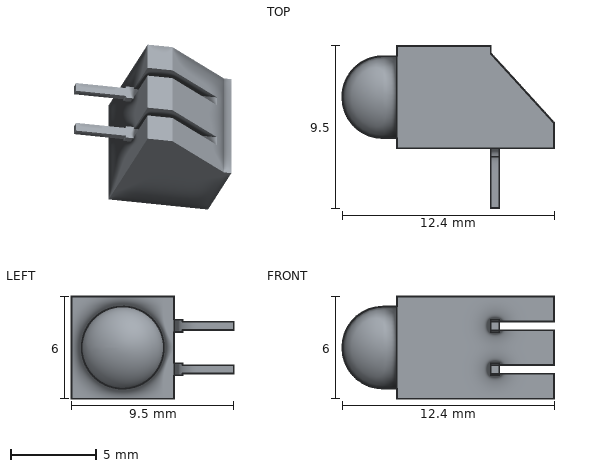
import cadquery as cq
import math


block_side = 6.0
overall_length = 12.4
lens_length = 3.2
block_length = overall_length - lens_length
half_side = block_side / 2

shoulder_length = 5.5
shoulder_depth = 0.45
rear_wall_width = 1.5

lens_radius = 2.4
lens_barrel_length = lens_length - lens_radius

lead_pitch = 2.54
lead_width = 0.52
lead_height = 0.5
lead_length = 3.5
collar_height = 0.72
collar_length = 0.5
lead_rear_offset = 3.2

lead_rear_x = block_length - lead_rear_offset
lead_x = lead_rear_x - lead_width / 2
lead_levels = (-lead_pitch / 2, lead_pitch / 2)


def make_block():
    """Square block with a stepped slope across its rear +Y corner."""
    outline = [
        (0, -half_side),
        (block_length, -half_side),
        (block_length, -half_side + rear_wall_width),
        (shoulder_length, half_side - shoulder_depth),
        (shoulder_length, half_side),
        (0, half_side),
    ]
    block = cq.Workplane("XY").polyline(outline).close()
    return block.extrude(half_side, both=True)


def make_lens():
    """Short barrel with a hemispherical tip, revolved about the X axis."""
    dome_start = -lens_barrel_length
    dome_bulge = lens_radius * math.sin(math.pi / 4)
    profile = (
        cq.Workplane("XY")
        .lineTo(0, lens_radius)
        .lineTo(dome_start, lens_radius)
        .threePointArc((dome_start - dome_bulge, dome_bulge), (-lens_length, 0))
        .close()
    )
    return profile.revolve(360, (0, 0, 0), (1, 0, 0))


def make_slot(level):
    """Slot open to the rear and to both Y sides, ending at the lead."""
    slot = cq.Workplane("XY").box(lead_rear_offset, block_side, lead_height, centered=(False, True, True))
    return slot.translate((lead_rear_x, 0, level))


def make_lead(level):
    """Collar and wire standing out of the -Y face."""
    face = cq.Workplane("XZ", origin=(lead_x, -half_side, level))
    collar = face.rect(lead_width, collar_height).extrude(collar_length)
    wire = face.rect(lead_width, lead_height).extrude(lead_length)
    return collar.union(wire)


result = make_block().union(make_lens())
for level in lead_levels:
    result = result.cut(make_slot(level)).union(make_lead(level))